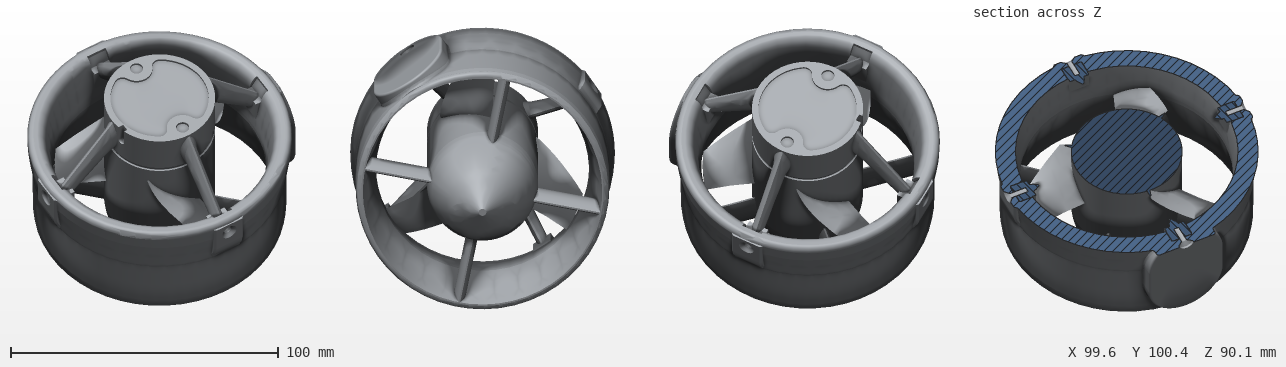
import cadquery as cq
import math


tail_tip_z = -23.4
rotor_bottom_z = 23.6
rotor_top_z = 49.0
head_bottom_z = 50.8
mount_top_z = 66.7
duct_top_z = 45.9

throat_radius = 39.8
throat_bottom_z = 24.1
exit_radius = 44.7
duct_radius = 47.4
bottom_bevel_z = 4.5
bottom_bevel_radius = 47.1
bottom_round = 1.8
throat_top_z = 26.1
skirt_bottom_z = 25.1
skirt_bottom_radius = 47.6
skirt_top_z = 38.6
skirt_top_radius = 49.2
lip_radius = 49.4
lip_bottom_z = 43.6
lip_inner_radius = 47.1

arm_count = 4
pad_reach = 49.8
pad_half_width = 6.4
pad_bevel = 0.8
pad_top_z = 44.1
pad_flat_bottom_z = 33.0
pad_arc_end = (48.4, 28.1)
pad_arc_sag = 0.35
foot_width = 8.0
foot_inner_radius = 39.7
foot_outer_radius = 46.5
foot_bottom_z = 32.3
foot_shelf_z = 40.9
foot_shelf_radius = 42.8
foot_top_z = 44.3
foot_top_radius = 45.2
screw_z = 39.6
screw_diameter = 3.3
screw_head_diameter = 6.2
screw_inner_radius = 41.7

boss_reach = 50.6
boss_root_y = 44.7
boss_radius = 15.4
boss_low_z = 17.9
boss_high_z = 28.9
boss_edge_round = 0.9
boss_root_round = 1.7
boss_blank_allowance = 4.0
boss_core_bend_bottom_z = 21.1
boss_core_bend_top_z = 27.1
boss_core_slope = 0.11

hub_radius = 20.8
neck_radius = 20.1
tail_start_z = 8.0
tail_rim_radius = 19.4
tail_profile = [(tail_rim_radius, 0), (14.1, -10.3), (10.3, -14.6), (5.0, -19.9)]
tail_tip_radius = 1.4

vane_count = 4
vane_bottom_z = 0.2
vane_top_z = 14.1
vane_thickness = 4.5
vane_nose_width = 0.6
embed = 1.5

strut_inner_radius = 20.1
strut_outer_radius = 43.2
strut_inner_bottom_z = 51.8
strut_inner_top_z = 66.4
strut_outer_bottom_z = 32.9
strut_outer_top_z = 41.3
strut_inner_thickness = 5.4
strut_outer_thickness = 4.4
strut_nose_width = 0.8
strut_root_flare = 1.0
strut_flare_end_radius = 22.5

cover_depth = 0.9
cover_radius = 18.4
cover_corner_round = 3.0
cover_screw_x = 16.5
cover_screw_diameter = 4.9
cover_screw_depth = 1.0
cover_ear_radius = 5.9
cable_slot_x = 5.2
cable_slot_width = 2.8
cable_slot_bottom_z = 58.3
cable_slot_depth = 2.5

blade_count = 3
blade_tip_radius = 39.2
blade_sections = [
    (15.2, -14.8, 43.2, 5.2, 24.3, 2.0),
    (19.4, -14.4, 39.2, 5.3, 24.3, 1.8),
    (25.5, -12.7, 35.4, 5.6, 24.3, 1.6),
    (32.7, -9.6, 31.9, 6.4, 24.3, 1.4),
    (40.2, -5.4, 28.9, 7.6, 24.3, 1.2),
]


def cylinder(radius, bottom_z, top_z):
    """Upright cylinder about the Z axis."""
    return cq.Workplane("XY").workplane(offset=bottom_z).circle(radius).extrude(top_z - bottom_z)


def around_axis(shape, count, start_angle=0.0):
    """Equally spaced copies of a shape that points along +X."""
    step = 360 / count
    return [shape.rotate((0, 0, 0), (0, 0, 1), start_angle + i * step) for i in range(count)]


def radial_plane_extrusion(points, width):
    """Closed outline of (radius, z) points, thickened equally to both sides of the XZ plane."""
    return cq.Workplane("XZ").polyline(points).close().extrude(width / 2, both=True)


def lens_section(plane_x, bottom_z, top_z, thickness, nose_width):
    """Upright lens outline with narrow flat noses, in the plane of constant x."""
    half = thickness / 2
    nose = nose_width / 2
    middle_z = (bottom_z + top_z) / 2
    return (
        cq.Workplane("YZ", origin=(plane_x, 0, 0))
        .moveTo(-nose, bottom_z)
        .lineTo(nose, bottom_z)
        .threePointArc((half, middle_z), (nose, top_z))
        .lineTo(-nose, top_z)
        .threePointArc((-half, middle_z), (-nose, bottom_z))
        .close()
    )



def duct_ring():
    """Revolved duct wall with a bell mouth, a rounded lip and a widening outlet."""
    mouth_width = lip_inner_radius - throat_radius
    mouth_height = duct_top_z - throat_top_z
    diagonal = math.sqrt(0.5)
    mouth_middle = (lip_inner_radius - mouth_width * diagonal, throat_top_z + mouth_height * diagonal)
    lip_middle = (
        lip_inner_radius + (lip_radius - lip_inner_radius) * diagonal,
        lip_bottom_z + (duct_top_z - lip_bottom_z) * diagonal,
    )
    bottom_middle = (
        bottom_bevel_radius - bottom_round * (1 - diagonal),
        bottom_round * (1 - diagonal),
    )
    mouth_points = [mouth_middle, (throat_radius, throat_top_z)]
    return (
        cq.Workplane("XZ")
        .moveTo(throat_radius, throat_bottom_z)
        .lineTo(exit_radius, 0)
        .lineTo(bottom_bevel_radius - bottom_round, 0)
        .threePointArc(bottom_middle, (bottom_bevel_radius, bottom_round))
        .lineTo(duct_radius, bottom_bevel_z)
        .lineTo(duct_radius, skirt_bottom_z)
        .lineTo(skirt_bottom_radius, throat_top_z)
        .lineTo(skirt_top_radius, skirt_top_z)
        .lineTo(lip_radius, lip_bottom_z)
        .threePointArc(lip_middle, (lip_inner_radius, duct_top_z))
        .spline(mouth_points, tangents=[(-1, 0), (0, -1)], includeCurrent=True)
        .close()
        .revolve(360, (0, 0, 0), (0, 1, 0))
    )


def screw_pad():
    """Flat-faced pad on the outside of the duct, bevelled along both sides."""
    inner = duct_radius - embed
    arc_middle = (pad_reach - pad_arc_sag, (pad_flat_bottom_z + pad_arc_end[1]) / 2)
    pad = (
        cq.Workplane("XZ")
        .moveTo(inner, pad_top_z)
        .lineTo(pad_reach, pad_top_z)
        .lineTo(pad_reach, pad_flat_bottom_z)
        .threePointArc(arc_middle, pad_arc_end)
        .lineTo(skirt_bottom_radius, throat_top_z)
        .lineTo(inner, throat_top_z)
        .close()
        .extrude(pad_half_width, both=True)
    )
    sloping_ends = cq.selectors.BoxSelector(
        (skirt_bottom_radius, -pad_reach, throat_top_z + pad_bevel / 2),
        (pad_reach + pad_bevel, pad_reach, pad_top_z - pad_bevel),
    )
    side_edges = pad.faces("|Y").edges(sloping_ends)
    return side_edges.chamfer(pad_bevel)


def screw_cut():
    """Radial screw hole with a 90 degree countersink and a bore out to the cable boss face."""
    shank = screw_diameter / 2
    head = screw_head_diameter / 2
    return (
        cq.Workplane("XZ")
        .moveTo(screw_inner_radius, screw_z)
        .lineTo(screw_inner_radius, screw_z + shank)
        .lineTo(pad_reach - (head - shank), screw_z + shank)
        .lineTo(pad_reach, screw_z + head)
        .lineTo(boss_reach, screw_z + head)
        .lineTo(boss_reach, screw_z)
        .close()
        .revolve(360, (0, screw_z, 0), (1, screw_z, 0))
    )


def foot_pocket():
    """Recess in the bell mouth that takes one strut foot."""
    outline = [
        (throat_radius - embed, foot_bottom_z),
        (foot_outer_radius, foot_bottom_z),
        (foot_outer_radius, foot_top_z),
        (foot_top_radius, foot_top_z),
        (foot_top_radius, duct_top_z),
        (throat_radius - embed, duct_top_z),
    ]
    return radial_plane_extrusion(outline, foot_width)


def boss_core():
    """Core with a smooth side, just inside the duct surface, that the boss root is rounded onto."""
    bend_height = boss_core_bend_top_z - boss_core_bend_bottom_z
    bend_top_radius = bottom_bevel_radius + boss_core_slope * bend_height / 2
    top_radius = bend_top_radius + boss_core_slope * (mount_top_z - boss_core_bend_top_z)
    return (
        cq.Workplane("YZ")
        .lineTo(bottom_bevel_radius, 0)
        .lineTo(bottom_bevel_radius, boss_core_bend_bottom_z)
        .tangentArcPoint((bend_top_radius, boss_core_bend_top_z), relative=False)
        .lineTo(top_radius, mount_top_z)
        .lineTo(0, mount_top_z)
        .close()
        .revolve(360, (0, 0, 0), (0, 1, 0))
    )


def cable_boss():
    """Obround boss on the +Y side, rounded at its rim and where it meets the duct."""
    height = boss_high_z - boss_low_z + 2 * boss_radius
    bottom_z = boss_low_z - boss_radius
    top_z = boss_high_z + boss_radius
    blank = (
        cq.Workplane("XZ", origin=(0, 0, (bottom_z + top_z) / 2))
        .slot2D(height, 2 * boss_radius, 90)
        .extrude(-boss_reach - boss_blank_allowance)
    )
    root_zone = cq.selectors.BoxSelector(
        (-2 * boss_radius, boss_root_y - embed, bottom_z),
        (2 * boss_radius, boss_reach - boss_edge_round, top_z),
    )
    rounded = boss_core().union(blank).edges(root_zone).fillet(boss_root_round)
    trimmed_height = top_z - bottom_round
    trim = cq.Workplane("XY").box(
        4 * boss_radius, boss_reach - boss_root_y, trimmed_height, centered=(True, False, False)
    ).translate((0, boss_root_y, bottom_round))
    return rounded.intersect(trim).faces(">Y").edges().fillet(boss_edge_round)


def stator_hub():
    """Hub below the rotor, running out into the pointed tail cone."""
    return (
        cq.Workplane("XZ")
        .moveTo(0, rotor_bottom_z)
        .lineTo(hub_radius, rotor_bottom_z)
        .lineTo(hub_radius, tail_start_z)
        .spline(tail_profile + [(tail_tip_radius, tail_tip_z)], includeCurrent=True)
        .lineTo(0, tail_tip_z)
        .close()
        .revolve(360, (0, 0, 0), (0, 1, 0))
    )


def stator_vane():
    """Upright vane between the stator hub and the duct wall."""
    inner = tail_rim_radius - embed
    outer = exit_radius + embed / 2
    section = lens_section(inner, vane_bottom_z, vane_top_z, vane_thickness, vane_nose_width)
    return section.extrude(outer - inner)


def build_duct():
    body = duct_ring().union(cable_boss())
    for pad in around_axis(screw_pad(), arm_count):
        body = body.union(pad)
    for vane in around_axis(stator_vane(), vane_count, 45):
        body = body.union(vane)
    body = body.union(stator_hub())
    for pocket in around_axis(foot_pocket(), arm_count):
        body = body.cut(pocket)
    for hole in around_axis(screw_cut(), arm_count):
        body = body.cut(hole)
    return body



def strut_section(radius, flare=0.0):
    """Section of a strut at a distance from the axis, made thicker by the flare on each side."""
    share = (radius - strut_inner_radius) / (strut_outer_radius - strut_inner_radius)

    def between(inner, outer):
        return inner + (outer - inner) * share

    thickness = between(strut_inner_thickness, strut_outer_thickness) + 2 * flare
    bottom_z = between(strut_inner_bottom_z, strut_outer_bottom_z)
    top_z = between(strut_inner_top_z, strut_outer_top_z)
    return lens_section(radius, bottom_z, top_z, thickness, strut_nose_width).wires().val()


def strut():
    """Tapered lens-section strut running down from the head to a foot, flared at its root."""
    beam = [strut_section(strut_inner_radius), strut_section(strut_outer_radius)]
    root = [strut_section(strut_inner_radius, strut_root_flare), strut_section(strut_flare_end_radius)]
    return cq.Workplane(cq.Solid.makeLoft(beam, True)).union(cq.Workplane(cq.Solid.makeLoft(root, True)))


def strut_foot():
    """Stepped block at the outer end of a strut, filling its pocket in the duct."""
    outline = [
        (foot_inner_radius, foot_bottom_z),
        (foot_inner_radius, foot_shelf_z),
        (foot_shelf_radius, foot_shelf_z),
        (foot_top_radius, foot_top_z),
        (foot_outer_radius, foot_top_z),
        (foot_outer_radius, foot_bottom_z),
    ]
    return radial_plane_extrusion(outline, foot_width)


def cover_recess():
    """Shallow recess in the top face that leaves an ear around each cover screw."""
    ears = (
        cq.Workplane("XY")
        .pushPoints([(-cover_screw_x, 0), (cover_screw_x, 0)])
        .circle(cover_ear_radius)
        .extrude(mount_top_z)
    )
    recess = cylinder(cover_radius, mount_top_z - cover_depth, mount_top_z).cut(ears)
    return recess.edges("|Z").fillet(cover_corner_round)


def cover_screw_holes():
    """Shallow round holes in the two ears."""
    return (
        cq.Workplane("XY", origin=(0, 0, mount_top_z))
        .pushPoints([(-cover_screw_x, 0), (cover_screw_x, 0)])
        .circle(cover_screw_diameter / 2)
        .extrude(-cover_screw_depth)
    )


def cable_slot():
    """Round-ended slot through the rim of the head, open at the top."""
    half = cable_slot_width / 2
    return (
        cq.Workplane("XZ", origin=(cable_slot_x, -hub_radius, 0))
        .moveTo(-half, mount_top_z)
        .lineTo(-half, cable_slot_bottom_z + half)
        .threePointArc((0, cable_slot_bottom_z), (half, cable_slot_bottom_z + half))
        .lineTo(half, mount_top_z)
        .close()
        .extrude(-cable_slot_depth)
    )


def build_mount():
    body = cylinder(hub_radius, head_bottom_z, mount_top_z)
    for arm in around_axis(strut(), arm_count):
        body = body.union(arm)
    body = body.union(cylinder(neck_radius, rotor_top_z, head_bottom_z))
    for foot in around_axis(strut_foot(), arm_count):
        body = body.union(foot)
    for hole in around_axis(screw_cut(), arm_count):
        body = body.cut(hole)
    return body.cut(cover_recess()).cut(cover_screw_holes()).cut(cable_slot())



def blade_outline(x, lead_y, lead_z, trail_y, trail_z, thickness):
    """Thin lens between the leading and trailing edges, in the plane of constant x."""
    lead = cq.Vector(x, lead_y, lead_z)
    trail = cq.Vector(x, trail_y, trail_z)
    chord = trail - lead
    normal = cq.Vector(0, -chord.z, chord.y).normalized() * (thickness / 2)
    middle = (lead + trail) * 0.5
    upper = cq.Edge.makeThreePointArc(lead, middle + normal, trail)
    lower = cq.Edge.makeThreePointArc(trail, middle - normal, lead)
    return cq.Wire.assembleEdges([upper, lower])


def rotor_blade():
    """Twisted blade lofted through its sections and trimmed to the tip circle."""
    outlines = [blade_outline(*section) for section in blade_sections]
    blade = cq.Workplane(cq.Solid.makeLoft(outlines))
    return blade.intersect(cylinder(blade_tip_radius, 0, mount_top_z))


def build_rotor():
    body = cylinder(hub_radius, rotor_bottom_z, rotor_top_z)
    for blade in around_axis(rotor_blade(), blade_count):
        body = body.union(blade)
    return body


duct = build_duct()
mount = build_mount()
rotor = build_rotor()

result = cq.Compound.makeCompound([duct.solids().val(), mount.solids().val(), rotor.solids().val()])